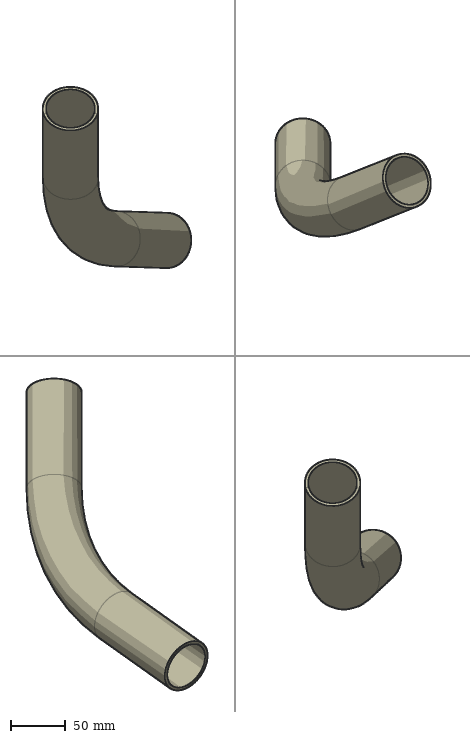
import cadquery as cq
import math

outer_diameter = 51.0
inner_diameter = 44.7

overall_height = 344.0
leg_length = 102.0
bend_angle = 45.0
bend_sine = math.sin(math.radians(bend_angle))
bend_cosine = math.cos(math.radians(bend_angle))

rim_drop = outer_diameter / 2 * bend_sine
bend_height = overall_height - leg_length * (1 + bend_cosine) - rim_drop
bend_radius = bend_height / bend_sine


def bend_point(angle_degrees):
    """Point (Y, Z) on the bend centreline, measured from its upper end at the origin."""
    angle = math.radians(angle_degrees)
    return bend_radius * (1 - math.cos(angle)), -bend_radius * math.sin(angle)


bend_end_y, bend_end_z = bend_point(bend_angle)
lower_end = (
    bend_end_y + leg_length * bend_sine,
    bend_end_z - leg_length * bend_cosine,
)

centreline = (
    cq.Workplane("YZ")
    .moveTo(0, leg_length)
    .lineTo(0, 0)
    .threePointArc(bend_point(bend_angle / 2), (bend_end_y, bend_end_z))
    .lineTo(*lower_end)
)

result = (
    cq.Workplane("XY", origin=(0, 0, leg_length))
    .circle(outer_diameter / 2)
    .circle(inner_diameter / 2)
    .sweep(centreline)
)